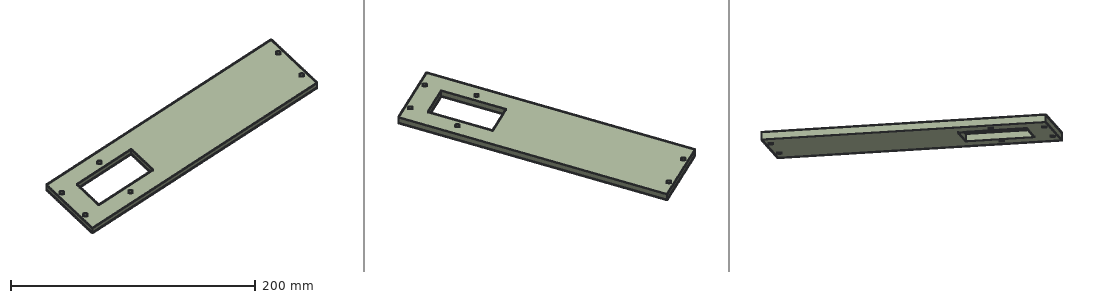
import cadquery as cq

plate_width = 59.0
plate_length = 239.0
plate_thickness = 6.5

window_width = 28.0
window_length = 57.5
window_center_y = -71.0

hole_diameter = 3.5
end_hole_spacing = 30.0
end_hole_inset = 4.5
window_hole_spacing = 40.0

end_hole_y = plate_length / 2 - end_hole_inset


def through_hole_pair(body, spacing, y):
    """Drill two through holes at the given Y, symmetric about the centreline."""
    return (
        body.faces(">Z")
        .workplane(origin=(0, 0, 0))
        .pushPoints([(-spacing / 2, y), (spacing / 2, y)])
        .hole(hole_diameter)
    )


plate = cq.Workplane("XY").box(plate_width, plate_length, plate_thickness)

window = (
    cq.Workplane("XY")
    .center(0, window_center_y)
    .box(window_width, window_length, plate_thickness)
)
plate = plate.cut(window)

for end_y in (-end_hole_y, end_hole_y):
    plate = through_hole_pair(plate, end_hole_spacing, end_y)
result = through_hole_pair(plate, window_hole_spacing, window_center_y)